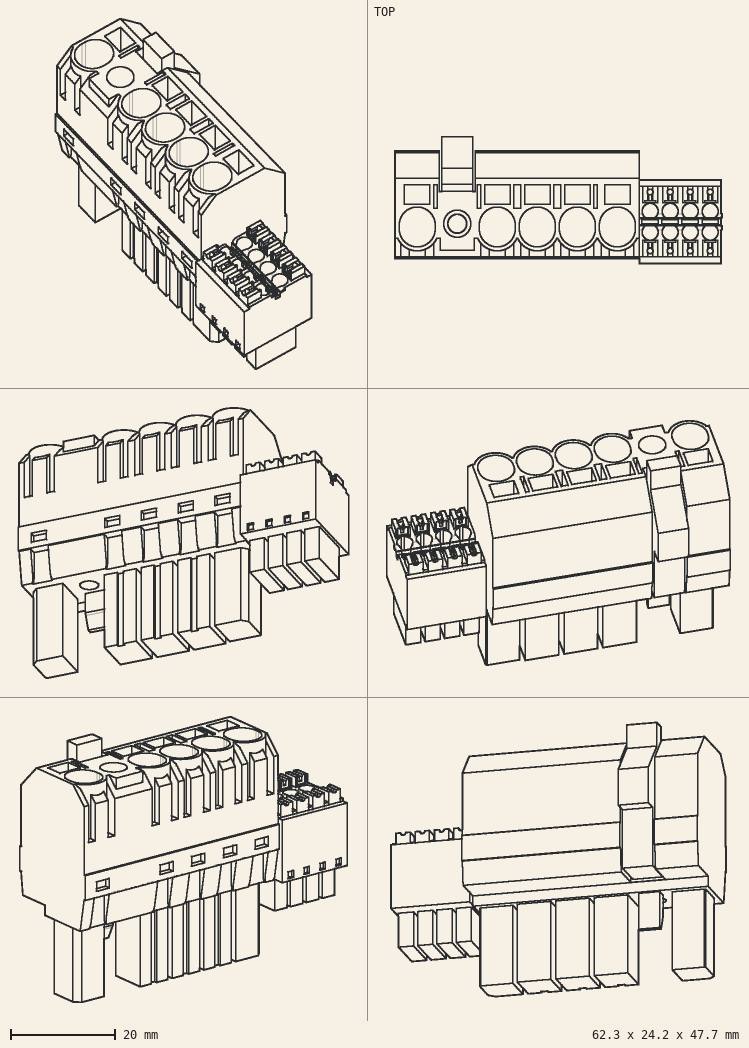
import cadquery as cq


first_pole_x = 4.25
pole_span = 38.1
places = 6
pitch = pole_span / (places - 1)
flange_place = 1
pole_xs = [first_pole_x + pitch * i for i in range(places) if i != flange_place]
flange_x = first_pole_x + pitch * flange_place
power_length = 46.5

power_top = 29.15
power_depth = 19.8
belt_top = 11.8
belt_bottom = 6.7
belt_height = 0.4
front_chamfer = 3.5
rear_chamfer = 4.85
front_taper = 1.25
rear_taper = 0.55
rear_step_y = 12.3
rear_step_z = 2.05

funnel_r = 3.4
funnel_front_y = 5.3
funnel_stretch = 0.75
funnel_depth = 15.55
collar_r = 4.1
collar_y = 5.2
side_rib_width = 3.05
side_slot_span = 6.2
side_slot_bottom = 18.1

test_width = 4.85
test_y = (9.95, 13.7)
test_depth = 12.45
relief_y = (9.2, 13.7)
relief_width = 0.7
relief_depth = 9.35

window_width = 3.1
window_z = (8.0, 9.9)
window_depth = 1.25
recess_half = 1.8
recess_flared_half = 2.0
recess_flare_z = 1.2
recess_y = 1.6

pad_width = 6.4
pad_front_y = 1.25
screw_y = 6.3
screw_d = 3.55
screw_head_d = 5.15
screw_head_depth = 12.45
lever_slot_width = 6.8
lever_slot_y = 12.45
lever_width = 6.0
lever_front_y = 13.8
lever_neck_y = 16.9
lever_rear_y = 22.85
lever_top = 32.15
lever_slope_top = 27.4
lever_handle_bottom = 14.25
lever_bottom = 2.6
lever_web_top = 18.7
hook_width = 4.2
hook_y = (9.15, 11.65)
hook_bottom = -7.15
hook_step_z = -4.1
hook_step_y = 0.2
hook_slope_z = -4.55
hook_tip_y = 10.6

sleeve_width = 6.6
sleeve_front_y = 3.55
sleeve_rear_y = 11.3
end_sleeve_rear_y = 10.85
sleeve_bottom = -15.55
sleeve_chamfer = 1.2
sleeve_rear_chamfer = 0.25
groove_width = 1.3
groove_depth = 0.6

signal_pitch = pitch / 2
signal_columns = 4
signal_x = (power_length, 62.1)
signal_mid_x = sum(signal_x) / 2
signal_xs = [signal_mid_x + signal_pitch * (i - (signal_columns - 1) / 2) for i in range(signal_columns)]
signal_y = (-1.3, 14.65)
signal_mid_y = sum(signal_y) / 2
signal_bottom = 0.2
wall_top = 12.9
button_rows_y = (0.0, 13.45)
platform_top = 13.45
lip_end_x = 62.3
trench_half = 0.75
trench_bottom = 11.5
trench_round = 0.8
trench_web = 0.2
trench_web_top = 12.6
pad_height = 0.2
trench_pad_width = 3.1
trench_pad_depth = 0.75
wire_hole_d = 3.05
wire_hole_offset = 2.0
wire_hole_depth = 7.5
signal_window = 1.25
signal_window_z = (0.7, 2.05)
signal_window_depth = 0.6
signal_sleeve_width = 3.0
signal_sleeve_y = (1.85, 11.35)
signal_sleeve_bottom = -6.6

button_width = 2.8
button_length = 3.2
button_top = 15.5
button_bottom = 8.7
button_notch_r = 0.5
button_slot_width = 0.55
button_slot_depth = 1.25
button_recess_width = 2.05
button_recess_depth = 0.4
button_recess_bottom = 13.7
dimple_r = 0.55
dimple_depth = 1.55
dimple_offset = 1.1


def block(x, y, z):
    """Box between the two limits given for each axis."""
    return cq.Workplane("XY").box(x[1] - x[0], y[1] - y[0], z[1] - z[0], centered=False).translate(
        (x[0], y[0], z[0])
    )


def centred_block(x_mid, width, y, z):
    return block((x_mid - width / 2, x_mid + width / 2), y, z)


def side_profile(points, x_start, length):
    """Extrude a Y-Z outline along +X."""
    return cq.Workplane("YZ").polyline(points).close().extrude(length).translate((x_start, 0, 0))


def upright_cylinder(x, y, radius, z_top, depth):
    """Cylinder running down from z_top."""
    return cq.Workplane("XY", origin=(x, y, z_top)).circle(radius).extrude(-depth)


def power_shell():
    outline = [
        (front_taper, 0),
        (0, belt_bottom),
        (-belt_height, belt_bottom),
        (-belt_height, belt_top),
        (0, belt_top),
        (0, power_top - front_chamfer),
        (front_chamfer, power_top),
        (power_depth - rear_chamfer, power_top),
        (power_depth, power_top - rear_chamfer),
        (power_depth, belt_top),
        (power_depth + belt_height, belt_top),
        (power_depth + belt_height, belt_bottom),
        (power_depth, belt_bottom),
        (power_depth - rear_taper, rear_step_z),
        (rear_step_y, rear_step_z),
        (rear_step_y, 0),
    ]
    return side_profile(outline, 0, power_length)


def funnel_collar(x):
    return upright_cylinder(x, collar_y, collar_r, power_top, power_top - side_slot_bottom)


def side_slots(x):
    """The two slots beside the rib, reaching in behind the collar front."""
    slots = cq.Workplane("XY")
    for side in (-1, 1):
        middle = x + side * (side_rib_width + side_slot_span) / 4
        width = (side_slot_span - side_rib_width) / 2
        slots = slots.add(centred_block(middle, width, (0, collar_y), (side_slot_bottom, power_top)))
    return slots.combine()


def funnel_hole(x):
    middle_y = funnel_front_y + funnel_stretch / 2
    overall = funnel_stretch + 2 * funnel_r
    plane = cq.Workplane("XY", origin=(x, middle_y, power_top))
    return plane.slot2D(overall, 2 * funnel_r, 90).extrude(-funnel_depth)


def belt_window(x):
    return centred_block(x, window_width, (-belt_height, window_depth - belt_height), window_z)


def under_belt_recess(x):
    outline = [
        (x - recess_flared_half, 0),
        (x - recess_half, recess_flare_z),
        (x - recess_half, belt_bottom),
        (x + recess_half, belt_bottom),
        (x + recess_half, recess_flare_z),
        (x + recess_flared_half, 0),
    ]
    return cq.Workplane("XZ").polyline(outline).close().extrude(-recess_y)


def relief_slots(x, sides):
    """Narrow slots along the borders of a pole; side -1 is its left border and 1 its right one."""
    relief_z = (power_top - relief_depth, power_top)
    slots = cq.Workplane("XY")
    for side in sides:
        middle = x + side * (pitch - relief_width) / 2
        slots = slots.add(centred_block(middle, relief_width, relief_y, relief_z))
    return slots.combine()


def sleeve(x):
    """Plug sleeve with a front groove."""
    body = centred_block(x, sleeve_width, (sleeve_front_y, sleeve_rear_y), (sleeve_bottom, 0))
    groove_y = (sleeve_front_y, sleeve_front_y + groove_depth)
    return body.cut(centred_block(x, groove_width, groove_y, (sleeve_bottom, 0)))


def end_sleeve(x, side):
    """Plug sleeve of an end pole, chamfered on its outer side."""
    outer = x + side * sleeve_width / 2
    inner = x - side * sleeve_width / 2
    outline = [
        (inner, sleeve_front_y),
        (outer - side * sleeve_chamfer, sleeve_front_y),
        (outer, sleeve_front_y + sleeve_chamfer),
        (outer, end_sleeve_rear_y - sleeve_rear_chamfer),
        (outer - side * sleeve_rear_chamfer, end_sleeve_rear_y),
        (inner, end_sleeve_rear_y),
    ]
    return cq.Workplane("XY").polyline(outline).close().extrude(sleeve_bottom)


def lever():
    """Release lever in its slot, joined to the housing by a web on its front."""
    outline = [
        (lever_slot_y, lever_bottom),
        (power_depth, lever_bottom),
        (power_depth, lever_handle_bottom),
        (lever_rear_y, lever_handle_bottom),
        (lever_rear_y, lever_slope_top - (lever_rear_y - lever_neck_y)),
        (lever_neck_y, lever_slope_top),
        (lever_neck_y, lever_top),
        (lever_front_y, lever_top),
        (lever_front_y, lever_web_top),
        (lever_slot_y, lever_web_top),
    ]
    return side_profile(outline, flange_x - lever_width / 2, lever_width)


def hook():
    outline = [
        (hook_y[0], 0),
        (hook_y[1], 0),
        (hook_y[1], hook_bottom),
        (hook_tip_y, hook_bottom),
        (hook_y[0] + hook_step_y, hook_slope_z),
        (hook_y[0], hook_step_z),
    ]
    return side_profile(outline, flange_x - hook_width / 2, hook_width)


def power_housing():
    body = power_shell()
    for x in pole_xs:
        collar_front = funnel_collar(x).intersect(block((0, power_length), (0, collar_y), (0, power_top)))
        body = body.cut(side_slots(x)).union(collar_front)
        body = body.cut(funnel_hole(x))
        body = body.cut(centred_block(x, test_width, test_y, (power_top - test_depth, power_top)))
        body = body.cut(belt_window(x))
        body = body.cut(under_belt_recess(x))

    first, *middle, last = pole_xs
    body = body.cut(relief_slots(first, [1]))
    for x in middle:
        body = body.cut(relief_slots(x, [-1, 1]))
        body = body.union(sleeve(x))
    body = body.union(end_sleeve(first, -1)).union(end_sleeve(last, 1))

    pad_z = (power_top - front_chamfer, power_top)
    body = body.union(centred_block(flange_x, pad_width, (pad_front_y, front_chamfer), pad_z))
    body = body.cut(upright_cylinder(flange_x, screw_y, screw_d / 2, power_top, power_top))
    body = body.cut(upright_cylinder(flange_x, screw_y, screw_head_d / 2, power_top, screw_head_depth))
    slot_y = (lever_slot_y, lever_rear_y)
    body = body.cut(centred_block(flange_x, lever_slot_width, slot_y, (0, power_top)))
    return body.union(lever()).union(hook())


def platform(side):
    """Raised half of the top for one row, rounded towards the trench; side is -1 for front, 1 for rear."""
    inner_y = signal_mid_y + side * trench_half
    body = block(signal_x, sorted((inner_y, button_outer_y(side))), (trench_bottom, platform_top))
    lip_y = sorted((inner_y, inner_y + side * trench_round))
    body = body.union(block((signal_x[0], lip_end_x), lip_y, (wall_top, platform_top)))
    lip_round = cq.Workplane("YZ").center(inner_y + side * trench_round, platform_top - trench_round)
    corner = block((signal_x[0], lip_end_x), lip_y, (platform_top - trench_round, platform_top))
    return body.cut(corner.cut(lip_round.circle(trench_round).extrude(lip_end_x)))


def trench_web_wall(side):
    edge_offsets = (trench_half - trench_web, trench_half)
    y_limits = sorted(signal_mid_y + side * offset for offset in edge_offsets)
    return block(signal_x, y_limits, (trench_bottom, trench_web_top))


def trench_pad(x):
    pad_y = (signal_mid_y - trench_pad_depth / 2, signal_mid_y + trench_pad_depth / 2)
    return centred_block(x, trench_pad_width, pad_y, (trench_bottom, trench_bottom + pad_height))


def button_outer_y(side):
    """Inner face of the front or rear wall, where the buttons of that row end."""
    return button_rows_y[0] if side < 0 else button_rows_y[1]


def button_blank(x, side):
    outer_y = button_outer_y(side)
    y_limits = sorted((outer_y, outer_y - side * button_length))
    return centred_block(x, button_width, y_limits, (button_bottom, button_top))


def signal_housing():
    body = block(signal_x, signal_y, (signal_bottom, wall_top))
    body = body.cut(block(signal_x, button_rows_y, (trench_bottom, wall_top)))
    body = body.union(platform(-1)).union(platform(1))
    window_y = (signal_y[0], signal_y[0] + signal_window_depth)
    for x in signal_xs:
        for side in (-1, 1):
            hole_y = signal_mid_y + side * wire_hole_offset
            body = body.cut(upright_cylinder(x, hole_y, wire_hole_d / 2, platform_top, wire_hole_depth))
            body = body.cut(button_blank(x, side))
        body = body.union(trench_pad(x))
        body = body.cut(centred_block(x, signal_window, window_y, signal_window_z))
        sleeve_z = (signal_sleeve_bottom, signal_bottom)
        body = body.union(centred_block(x, signal_sleeve_width, signal_sleeve_y, sleeve_z))
    return body.union(trench_web_wall(-1)).union(trench_web_wall(1))


def button(x, side):
    """Push-button; side -1 is the front row and 1 the rear row."""
    outer_y = button_outer_y(side)
    inner_y = outer_y - side * button_length
    dimple_y = outer_y - side * dimple_offset
    notch = cq.Workplane("XZ", origin=(x, signal_y[1], button_top)).circle(button_notch_r)
    slot_y = sorted((dimple_y, inner_y))
    slot = centred_block(x, button_slot_width, slot_y, (button_top - button_slot_depth, button_top))
    recess_y_limits = sorted((inner_y, inner_y + side * button_recess_depth))
    recess = centred_block(x, button_recess_width, recess_y_limits, (button_recess_bottom, button_top))
    body = button_blank(x, side).cut(recess).cut(notch.extrude(signal_y[1] - signal_y[0]))
    return body.cut(slot).cut(upright_cylinder(x, dimple_y, dimple_r, button_top, dimple_depth))


power = power_housing()
signal = signal_housing()
buttons = [button(x, side).solids().val() for x in signal_xs for side in (-1, 1)]

result = cq.Compound.makeCompound([power.solids().val(), signal.solids().val(), *buttons])